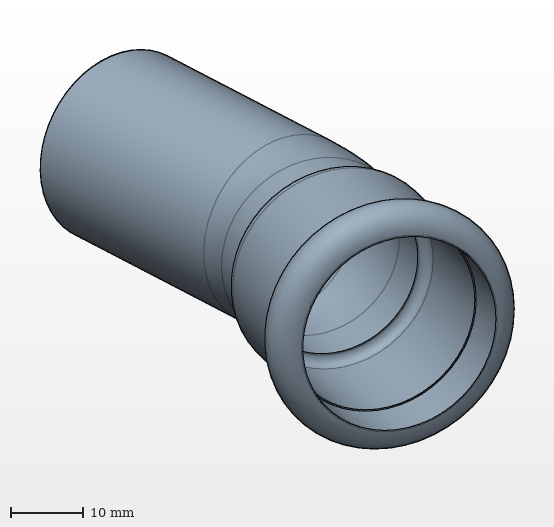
import cadquery as cq
import math


pipe_diameter = 28.0
pipe_bore = 25.0
socket_diameter = 31.4
socket_bore = 28.4
mouth_bore = 28.8
bead_diameter = 36.7

neck_length = 5.7
shoulder_length = 2.8
socket_length = 15.8
bead_width = 7.5
bend_angle = 15.0
bend_radius = 1.2 * pipe_diameter
spigot_length = 38.4
end_chamfer = 0.2

shoulder_start = neck_length
socket_start = shoulder_start + shoulder_length
bead_start = socket_start + socket_length
mouth_end = bead_start + bead_width

wall = (socket_diameter - socket_bore) / 2
shoulder_radius = 2 * wall
shoulder_inner_radius = shoulder_radius - wall
shoulder_center_r = socket_diameter / 2 - shoulder_radius

bead_radius = bead_width / 2
bead_center_x = bead_start + bead_radius
bead_center_r = bead_diameter / 2 - bead_radius


def arc_point(center_x, center_r, radius, angle):
    """Point on a profile circle, with the angle in degrees from +X."""
    a = math.radians(angle)
    return (center_x + radius * math.cos(a), center_r + radius * math.sin(a))


def revolve_about_x(profile):
    return profile.close().revolve(360, (0, 0, 0), (1, 0, 0))


def make_socket_body():
    """Solid neck, rounded shoulder and socket barrel."""
    neck_r = pipe_diameter / 2
    meet_angle = 180 - math.degrees(math.asin((neck_r - shoulder_center_r) / shoulder_radius))
    shoulder_foot = arc_point(socket_start, shoulder_center_r, shoulder_radius, meet_angle)
    shoulder_mid = arc_point(socket_start, shoulder_center_r, shoulder_radius, (meet_angle + 90) / 2)
    return revolve_about_x(
        cq.Workplane("XY")
        .moveTo(0, 0)
        .lineTo(0, neck_r)
        .lineTo(*shoulder_foot)
        .threePointArc(shoulder_mid, (socket_start, socket_diameter / 2))
        .lineTo(bead_center_x, socket_diameter / 2)
        .lineTo(bead_center_x, 0)
    )


def make_bead():
    """Solid disc with a half-round rim."""
    return revolve_about_x(
        cq.Workplane("XY")
        .moveTo(bead_start, 0)
        .lineTo(bead_start, bead_center_r)
        .threePointArc((bead_center_x, bead_diameter / 2), (mouth_end, bead_center_r))
        .lineTo(mouth_end, 0)
    )


def make_socket_cavity():
    """Pipe bore, rounded inner shoulder, socket bore and wider mouth."""
    inner_mid = arc_point(socket_start, shoulder_center_r, shoulder_inner_radius, 135)
    inner_start = socket_start - shoulder_inner_radius
    return revolve_about_x(
        cq.Workplane("XY")
        .moveTo(0, 0)
        .lineTo(0, pipe_bore / 2)
        .lineTo(inner_start, pipe_bore / 2)
        .lineTo(inner_start, shoulder_center_r)
        .threePointArc(inner_mid, (socket_start, socket_bore / 2))
        .lineTo(bead_start, socket_bore / 2)
        .lineTo(bead_start, mouth_bore / 2)
        .lineTo(mouth_end, mouth_bore / 2)
        .lineTo(mouth_end, 0)
    )


def make_bend_and_spigot():
    """Hollow bend followed by the straight spigot with both end edges chamfered."""
    angle = math.radians(bend_angle)
    bend_end = (-bend_radius * math.sin(angle), -bend_radius * (1 - math.cos(angle)), 0)
    spigot_direction = (-math.cos(angle), -math.sin(angle), 0)
    bend = (
        cq.Workplane("YZ")
        .circle(pipe_diameter / 2)
        .circle(pipe_bore / 2)
        .revolve(bend_angle, (-bend_radius, 0, 0), (-bend_radius, 1, 0))
    )
    spigot_plane = cq.Plane(origin=bend_end, xDir=(0, 0, 1), normal=spigot_direction)
    spigot = (
        cq.Workplane(spigot_plane)
        .circle(pipe_diameter / 2)
        .circle(pipe_bore / 2)
        .extrude(spigot_length)
        .faces(cq.selectors.DirectionMinMaxSelector(cq.Vector(*spigot_direction)))
        .edges()
        .chamfer(end_chamfer)
    )
    return bend.union(spigot)


socket = make_socket_body().union(make_bead()).cut(make_socket_cavity())
result = socket.union(make_bend_and_spigot())